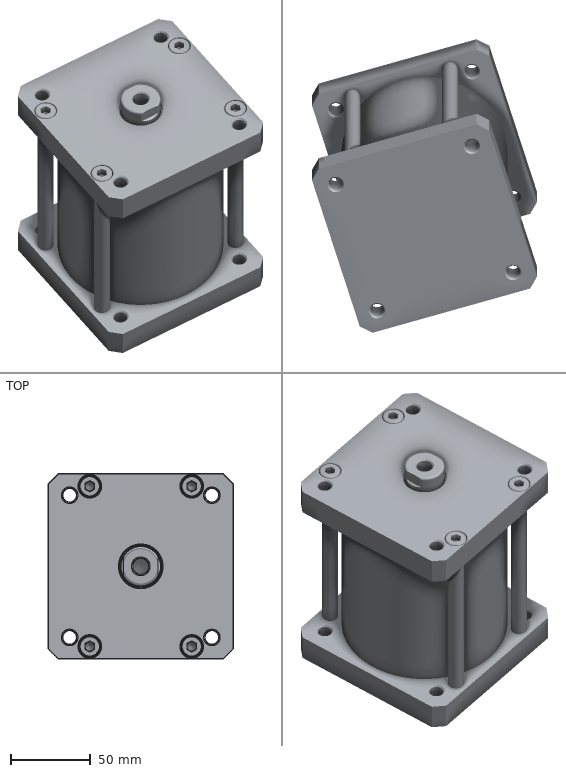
import cadquery as cq
import math

plate_width = 116.0
plate_thickness = 17.5
corner_chamfer = 6.4
overall_height = 152.0
rod_protrusion = 10.0
top_face_z = overall_height - rod_protrusion
cap_z = top_face_z - plate_thickness
tube_length = cap_z - plate_thickness

tube_diameter = 104.0
tube_bore = 100.0

mount_hole_diameter = 8.5
mount_hole_mouth = 10.3
mount_hole_offset = 44.5

bolt_offset_x = 31.9
bolt_offset_y = 50.2
bolt_diameter = 10.0
bolt_stud_diameter = 9.0
bolt_head_diameter = 13.0
bolt_head_height = 10.0
bolt_head_chamfer = 0.5
counterbore_diameter = 14.0
counterbore_mouth = 14.7
socket_across_flats = 6.1
socket_depth = 5.0
socket_point_angle = 118.0

rod_diameter = 25.0
rod_end_fillet = 1.4
flat_half_width = 11.0
flat_bottom_height = 2.7
flat_runout_drop = 0.9
rod_hole_diameter = 10.0
rod_hole_mouth = 11.7
rod_hole_depth = 20.0
rod_hole_point_angle = 160.0

rod_bore_diameter = 25.5
wiper_recess_diameter = 26.9
wiper_recess_depth = 2.0
wiper_recess_mouth = 28.0

mount_points = [(sx * mount_hole_offset, sy * mount_hole_offset) for sx in (-1, 1) for sy in (-1, 1)]
bolt_points = [(sx * bolt_offset_x, sy * bolt_offset_y) for sx in (-1, 1) for sy in (-1, 1)]


def cylinder(diameter, bottom_z, height):
    """Upright cylinder centred on the Z axis."""
    return cq.Workplane("XY").workplane(offset=bottom_z).circle(diameter / 2).extrude(height)


def drill_cone(diameter, wide_z, point_angle):
    """Downward pointing cone of the given full angle, with its wide end at wide_z."""
    radius = diameter / 2
    depth = radius / math.tan(math.radians(point_angle / 2))
    outline = [(0, wide_z), (radius, wide_z), (0, wide_z - depth)]
    return cq.Workplane("XZ").polyline(outline).close().revolve()


def countersink(mouth_diameter, hole_diameter, mouth_z, inward):
    """45 degree hole mouth; inward is +1 when the hole runs up from mouth_z and -1 when it runs down."""
    depth = (mouth_diameter - hole_diameter) / 2
    floor_z = mouth_z + inward * depth
    outline = [(0, mouth_z), (mouth_diameter / 2, mouth_z), (hole_diameter / 2, floor_z), (0, floor_z)]
    return cq.Workplane("XZ").polyline(outline).close().revolve()


def at_points(tool, points):
    """Copies of a tool at every XY point, gathered into one cutter."""
    copies = [tool.val().translate(cq.Vector(x, y, 0)) for x, y in points]
    return cq.Workplane(cq.Compound.makeCompound(copies))


def make_plate(bottom_z):
    """Square end plate with chamfered corners and four countersunk mounting holes."""
    plate = (
        cq.Workplane("XY")
        .workplane(offset=bottom_z)
        .rect(plate_width, plate_width)
        .extrude(plate_thickness)
        .edges("|Z")
        .chamfer(corner_chamfer)
    )
    hole = (
        cylinder(mount_hole_diameter, bottom_z, plate_thickness)
        .union(countersink(mount_hole_mouth, mount_hole_diameter, bottom_z, 1))
        .union(countersink(mount_hole_mouth, mount_hole_diameter, bottom_z + plate_thickness, -1))
    )
    return plate.cut(at_points(hole, mount_points))


def make_base():
    """Lower end plate with through holes for the thinner ends of the tie bolts."""
    bolt_hole = cylinder(bolt_stud_diameter, 0, plate_thickness)
    return make_plate(0).cut(at_points(bolt_hole, bolt_points))


def make_cap():
    """Upper end plate with counterbored bolt holes and the bore for the rod."""
    bolt_hole = cylinder(bolt_diameter, cap_z, plate_thickness)
    counterbore = cylinder(counterbore_diameter, top_face_z - bolt_head_height, bolt_head_height)
    counterbore = counterbore.union(countersink(counterbore_mouth, counterbore_diameter, top_face_z, -1))
    cap = make_plate(cap_z).cut(at_points(bolt_hole.union(counterbore), bolt_points))

    rod_bore = cylinder(rod_bore_diameter, cap_z, plate_thickness)
    recess = cylinder(wiper_recess_diameter, top_face_z - wiper_recess_depth, wiper_recess_depth)
    recess = recess.union(countersink(wiper_recess_mouth, wiper_recess_diameter, top_face_z, -1))
    return cap.cut(rod_bore).cut(recess)


def make_tube():
    """Barrel clamped between the two plates."""
    return cylinder(tube_diameter, plate_thickness, tube_length).cut(
        cylinder(tube_bore, plate_thickness, tube_length)
    )


def make_bolt():
    """Tie bolt on the Z axis, with a socket head flush with the top of the cap."""
    stud = cylinder(bolt_stud_diameter, 0, plate_thickness)
    head_z = top_face_z - bolt_head_height
    shank = cylinder(bolt_diameter, plate_thickness, head_z - plate_thickness)
    shank = shank.faces("<Z").chamfer((bolt_diameter - bolt_stud_diameter) / 2)
    head = cylinder(bolt_head_diameter, head_z, bolt_head_height)
    head = head.faces(">Z").chamfer(bolt_head_chamfer)
    socket_corners = socket_across_flats / math.cos(math.radians(30))
    socket_floor_z = top_face_z - socket_depth
    socket = (
        cq.Workplane("XY")
        .workplane(offset=socket_floor_z)
        .transformed(rotate=(0, 0, 90))
        .polygon(6, socket_corners)
        .extrude(socket_depth)
    )
    socket_point = drill_cone(socket_across_flats, socket_floor_z, socket_point_angle)
    return stud.union(shank).union(head).cut(socket).cut(socket_point)


def make_rod():
    """Rod with two wrench flats and a drilled hole in its top end."""
    rod = cylinder(rod_diameter, plate_thickness, overall_height - plate_thickness)
    rod = rod.faces(">Z").edges().fillet(rod_end_fillet)

    rod_radius = rod_diameter / 2
    flat_bottom_z = top_face_z + flat_bottom_height
    flat_profile = [
        (flat_half_width, overall_height),
        (flat_half_width, flat_bottom_z),
        (rod_radius, flat_bottom_z - flat_runout_drop),
        (rod_radius, overall_height),
    ]
    flat = cq.Workplane("XZ").polyline(flat_profile).close().extrude(rod_radius, both=True)
    rod = rod.cut(flat).cut(flat.mirror("YZ"))

    hole_bottom_z = overall_height - rod_hole_depth
    hole = (
        cylinder(rod_hole_diameter, hole_bottom_z, rod_hole_depth)
        .union(drill_cone(rod_hole_diameter, hole_bottom_z, rod_hole_point_angle))
        .union(countersink(rod_hole_mouth, rod_hole_diameter, overall_height, -1))
    )
    return rod.cut(hole)


base = make_base()
cap = make_cap()
tube = make_tube()
rod = make_rod()
bolt = make_bolt()
bolts = [bolt.val().translate(cq.Vector(x, y, 0)) for x, y in bolt_points]

result = cq.Compound.makeCompound([base.val(), cap.val(), tube.val(), rod.val(), *bolts])